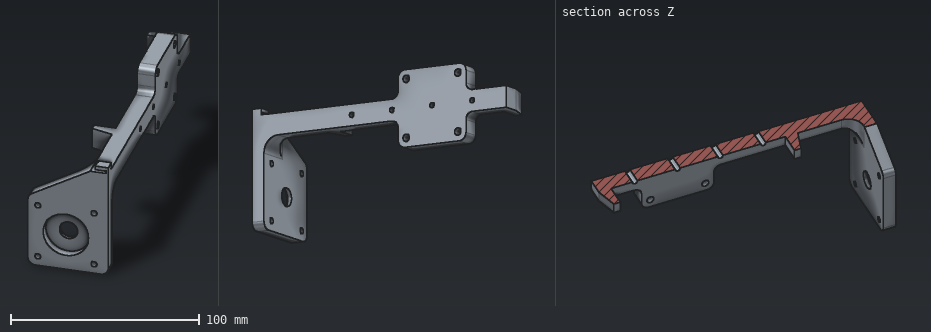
import cadquery as cq
import math

width = 44.5
length = 157.5
corner_radius = 4.3

arm_thickness = 10.1
arm_height = 12.0
plate_size = 42.2
plate_y = 111.5
arm_z = 55.9
inner_radius = 4.0
plate_hole_spacing = 32.0
plate_hole_diameter = 4.0
arm_hole_diameter = 2.7
arm_hole_pitch = 24.9
arm_hole_steps = (-2, -1, 0, 1)

arm_face_x = width - arm_thickness
arm_top = arm_z + arm_height / 2

hook_reach = 12.0
hook_tip = 4.0
hook_root = 7.4
far_hook_y = length - hook_root
near_hook_y = 49.0

end_thickness = 7.4
slope_angle = 30.0
gusset_radius = 9.0
bore_x = 21.1
bore_z = 21.1
bore_diameter = 10.0
seat_diameter = 25.0
seat_depth = 5.0
end_hole_spacing = 31.0
end_hole_diameter = 3.2

clip_width = 7.2
clip_length = 5.8
clip_height = 3.6
clip_gap = 1.4
clip_root = 1.4


def box(x0, x1, y0, y1, z0, z1):
    return cq.Workplane("XY").box(x1 - x0, y1 - y0, z1 - z0, centered=False).translate((x0, y0, z0))


def arm_with_end_plate():
    """Arm and end plate joined by a gusset fillet, with the plate's top sloped away."""
    arm = box(arm_face_x, width, 0, length, arm_z - arm_height / 2, arm_top)
    body = arm.union(box(0, width, 0, end_thickness, 0, arm_top))
    side_edge = cq.selectors.NearestToPointSelector((arm_face_x, end_thickness, arm_z))
    under_edge = cq.selectors.NearestToPointSelector(
        (width - arm_thickness / 2, end_thickness, arm_z - arm_height / 2)
    )
    body = body.edges(cq.selectors.SumSelector(side_edge, under_edge)).fillet(gusset_radius)

    slope_foot = arm_top - arm_face_x * math.tan(math.radians(slope_angle))
    wedge = (
        cq.Workplane("XZ")
        .polyline([(0, slope_foot), (arm_face_x, arm_top), (0, arm_top)])
        .close()
        .extrude(-(end_thickness + gusset_radius))
    )
    body = body.cut(wedge)
    for x, z in ((0, 0), (width, 0), (0, slope_foot)):
        corner = cq.selectors.NearestToPointSelector((x, end_thickness / 2, z))
        body = body.edges(corner).fillet(corner_radius)
    return body


def mounting_plate():
    """Square plate with rounded corners, centred on the arm."""
    return (
        cq.Workplane("YZ", origin=(arm_face_x, plate_y, arm_z))
        .rect(plate_size, plate_size)
        .extrude(arm_thickness)
        .edges("|X")
        .fillet(corner_radius)
    )


def hook(flat_y, direction):
    """Hook with a flat face at flat_y, tapering on the side given by direction."""
    tip_x = arm_face_x - hook_reach
    root_y = flat_y + direction * hook_root
    outline = [
        (tip_x, flat_y),
        (tip_x, flat_y + direction * hook_tip),
        (arm_face_x, root_y),
        (width, root_y),
        (width, flat_y),
    ]
    bottom = arm_z - arm_height / 2
    return cq.Workplane("XY").workplane(offset=bottom).polyline(outline).close().extrude(arm_height)


def clip():
    left = width - clip_width
    block = box(left, width, 0, clip_length, arm_top, arm_top + clip_height)
    return block.cut(box(left, width - clip_root, 0, clip_length, arm_top, arm_top + clip_gap))


def plate_junctions():
    """Edges where the arm meets the two ends of the mounting plate."""
    selector = None
    for side in (-1, 1):
        for level in (-1, 1):
            point = (
                width - arm_thickness / 2,
                plate_y + side * plate_size / 2,
                arm_z + level * arm_height / 2,
            )
            nearest = cq.selectors.NearestToPointSelector(point)
            selector = nearest if selector is None else cq.selectors.SumSelector(selector, nearest)
    return selector


def arm_holes():
    face = cq.Workplane("YZ", origin=(arm_face_x, plate_y, arm_z))
    corners = (
        face.rect(plate_hole_spacing, plate_hole_spacing, forConstruction=True)
        .vertices()
        .circle(plate_hole_diameter / 2)
        .extrude(arm_thickness)
    )
    row = (
        face.pushPoints([(step * arm_hole_pitch, 0) for step in arm_hole_steps])
        .circle(arm_hole_diameter / 2)
        .extrude(arm_thickness)
    )
    return corners.union(row)


def end_plate_holes():
    face = cq.Workplane("XZ", origin=(bore_x, 0, bore_z))
    seat = face.circle(seat_diameter / 2).extrude(-seat_depth)
    bore = face.circle(bore_diameter / 2).extrude(-end_thickness)
    screws = (
        face.rect(end_hole_spacing, end_hole_spacing, forConstruction=True)
        .vertices()
        .circle(end_hole_diameter / 2)
        .extrude(-end_thickness)
    )
    return seat.union(bore).union(screws)


body = arm_with_end_plate().union(mounting_plate())
body = body.edges(plate_junctions()).fillet(inner_radius)
body = body.union(hook(far_hook_y, 1)).union(hook(near_hook_y, -1)).union(clip())
result = body.cut(arm_holes()).cut(end_plate_holes())